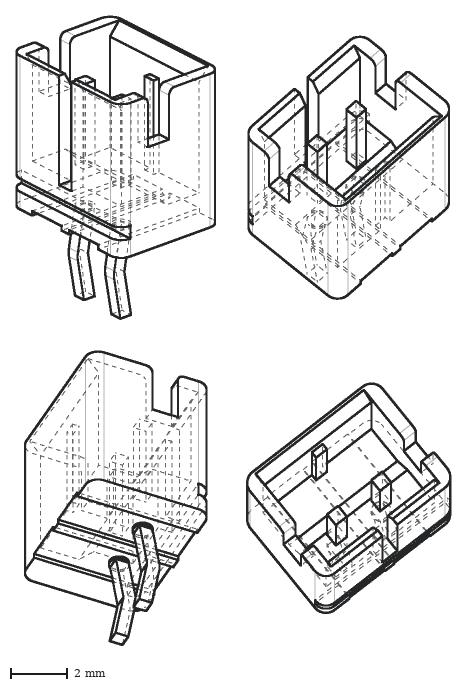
import cadquery as cq
import math

width = 6.0
depth = 4.7
height = 6.05
corner_radius = 0.5
wall = 0.55

front_floor_z = 1.75
floor_step = 0.58
slope_start_y = 2.08
cavity_width = width - 2 * wall
cavity_back_y = depth - wall
rear_floor_z = front_floor_z - floor_step
slope_end_y = slope_start_y + floor_step

bevel_height = 0.51
back_bevel = 0.425
front_bevel = 0.28

key_slot_width = 0.67
notch_front_y = 1.3
notch_back_y = 2.3
notch_floor_z = 4.05
notch_round = 0.255
groove_z = 0.7
groove_height = 0.51
groove_depth = 0.5
side_foot_width = 1.18
centre_foot_width = 0.425
foot_height = 0.18

rib_width = 0.49
rib_depth = 0.25
rib_top_z = 4.87

pin_pitch = 2.0
pin_size = 0.5
pin_y = 1.76
pin_top_z = 5.09
pin_tip_z = -3.4
pin_bend_z = -1.61
pin_bend_shift = 0.31
bend_outer_radius = 1.0
collar_diameter = 0.72
collar_height = 0.09


def box(x_size, y_min, y_max, z_min, z_max, x_centre=0):
    """Block centred on x_centre, spanning the given Y and Z ranges."""
    block = cq.Workplane("XY").box(x_size, y_max - y_min, z_max - z_min, centered=(True, False, False))
    return block.translate((x_centre, y_min, z_min))


def side_profile(points, x_size, x_centre=0):
    """Extrude a (Y, Z) outline along X, centred on x_centre."""
    outline = cq.Workplane("YZ").polyline(points).close()
    return outline.extrude(x_size / 2, both=True).translate((x_centre, 0, 0))


def make_shell():
    shell = box(width, 0, depth, 0, height).edges("|Z").fillet(corner_radius)
    bevel_z = height - bevel_height
    cavity = side_profile(
        [
            (wall - front_bevel, height),
            (wall, bevel_z),
            (wall, front_floor_z),
            (slope_start_y, front_floor_z),
            (slope_end_y, rear_floor_z),
            (cavity_back_y, rear_floor_z),
            (cavity_back_y, bevel_z),
            (cavity_back_y + back_bevel, height),
        ],
        cavity_width,
    )
    return shell.cut(cavity)


def make_notch():
    """Slot across both side walls, flaring out in rounds at the rim."""
    rim_z = height - notch_round
    arc_inset = notch_round * (1 - math.sqrt(0.5))
    outline = (
        cq.Workplane("YZ")
        .moveTo(notch_front_y, notch_floor_z)
        .lineTo(notch_front_y, rim_z)
        .threePointArc((notch_front_y - arc_inset, height - arc_inset), (notch_front_y - notch_round, height))
        .lineTo(notch_back_y + notch_round, height)
        .threePointArc((notch_back_y + arc_inset, height - arc_inset), (notch_back_y, rim_z))
        .lineTo(notch_back_y, notch_floor_z)
        .close()
    )
    return outline.extrude(width, both=True)


def make_channel(side):
    """Relief under the housing between the centre foot and a side foot."""
    inner_x = centre_foot_width / 2
    outer_x = width / 2 - side_foot_width
    return box(outer_x - inner_x, 0, depth, 0, foot_height, side * (inner_x + outer_x) / 2)


def make_pin(x_centre):
    front_y = pin_y - pin_size / 2
    back_y = pin_y + pin_size / 2
    pin = side_profile(
        [
            (front_y, pin_top_z),
            (front_y, foot_height),
            (front_y - pin_bend_shift, pin_bend_z),
            (front_y, pin_tip_z),
            (back_y, pin_tip_z),
            (back_y - pin_bend_shift, pin_bend_z),
            (back_y, foot_height),
            (back_y, pin_top_z),
        ],
        pin_size,
        x_centre,
    )
    front_bend = pin.edges("|X").edges("<Y")
    pin = front_bend.fillet(bend_outer_radius)
    collar = cq.Workplane("XY").circle(collar_diameter / 2).extrude(collar_height)
    collar = collar.translate((x_centre, pin_y, foot_height - collar_height))
    return pin.union(collar)


result = make_shell()
result = result.cut(make_notch())
result = result.cut(box(key_slot_width, 0, wall, front_floor_z, height))
result = result.cut(box(width, 0, groove_depth, groove_z, groove_z + groove_height))
result = result.union(box(rib_width, cavity_back_y - rib_depth, cavity_back_y, rear_floor_z, rib_top_z))
for side in (-1, 1):
    result = result.cut(make_channel(side))
    result = result.union(make_pin(side * pin_pitch / 2))